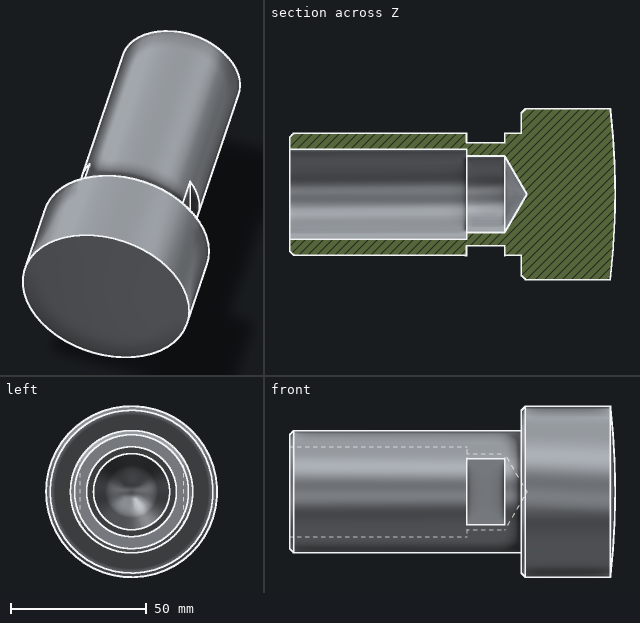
import cadquery as cq
import math

total_length = 119.8
head_diameter = 63.0
shank_diameter = 45.0
head_start = 85.2
crown_height = 1.8
edge_chamfer = 1.5

bore_diameter = 33.0
bore_depth = 65.0
pilot_diameter = 28.0
pilot_depth = 79.0
drill_tip_height = 8.1

flat_start = 65.0
flat_width = 14.0
across_flats = 38.0

head_radius = head_diameter / 2
shank_radius = shank_diameter / 2
crown_start = total_length - crown_height
crown_radius = (head_radius**2 + crown_height**2) / (2 * crown_height)
crown_centre = total_length - crown_radius
crown_mid_radius = head_radius / 2
crown_mid_x = crown_centre + math.sqrt(crown_radius**2 - crown_mid_radius**2)


def make_body():
    """Chamfered shank and crowned head, revolved about X."""
    return (
        cq.Workplane("XY")
        .moveTo(0, 0)
        .lineTo(0, shank_radius - edge_chamfer)
        .lineTo(edge_chamfer, shank_radius)
        .lineTo(head_start, shank_radius)
        .lineTo(head_start, head_radius - edge_chamfer)
        .lineTo(head_start + edge_chamfer, head_radius)
        .lineTo(crown_start, head_radius)
        .threePointArc((crown_mid_x, crown_mid_radius), (total_length, 0))
        .close()
        .revolve(360, (0, 0, 0), (1, 0, 0))
    )


def make_bore():
    """Stepped bore with a conical drill tip."""
    bore_radius = bore_diameter / 2
    pilot_radius = pilot_diameter / 2
    return (
        cq.Workplane("XY")
        .moveTo(0, 0)
        .lineTo(0, bore_radius)
        .lineTo(bore_depth, bore_radius)
        .lineTo(bore_depth, pilot_radius)
        .lineTo(pilot_depth, pilot_radius)
        .lineTo(pilot_depth + drill_tip_height, 0)
        .close()
        .revolve(360, (0, 0, 0), (1, 0, 0))
    )


def make_flat_cutter(side):
    """Block that cuts one wrench flat; side is +1 or -1 along Y."""
    block_centre = (flat_start + flat_width / 2, side * (across_flats + shank_diameter) / 2, 0)
    return cq.Workplane("XY").box(flat_width, shank_diameter, shank_diameter).translate(block_centre)


result = make_body().cut(make_bore())
for side in (-1, 1):
    result = result.cut(make_flat_cutter(side))